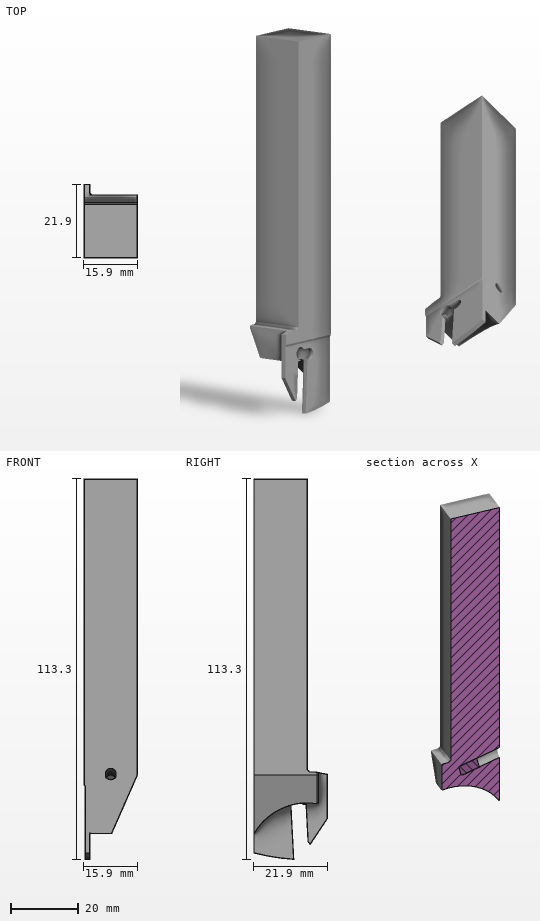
import cadquery as cq
import math


SHANK = 15.88
TOTAL_HEIGHT = 113.3

HEAD_DEPTH = 21.88
BLOCK_DEPTH = 18.8
SHOULDER_Z = 26.1
SHOULDER_SLOPE = math.radians(11)
SHOULDER_SLOPE_START = 18.0
SHOULDER_BEVEL = 0.65

BLADE_INNER_X = 1.75
CORNER_RADIUS = 0.4
RELIEF = 0.33
RELIEF_TOP_Z = 22.3
RELIEF_BOTTOM_Z = 21.65

JAW_HEEL_Z = 1.9
JAW_BULGE = 0.3

SLOT_LEAN = math.radians(3)
SLOT_TOP_Z = 16.4
LOWER_JAW_TOP_Y = 11.0
UPPER_JAW_TOP_Y = 15.5
KEYHOLE_DEPTH_X = BLADE_INNER_X
ROUND_END = (14.45, 18.65)
ROUND_END_RADIUS = 1.9
SMALL_END = (10.05, 17.82)
SMALL_END_RADIUS = 1.75

ARM_OUTER_Z = 12.2
ARM_TIP_Z = 4.5
ARM_TIP_Y = 16.75
ARM_TIP_BEVEL_Z = 5.3

SUPPORT_HEEL_Z = 7.65
SUPPORT_CREST_Y = SHANK
SUPPORT_CREST_Z = 16.8
TAPER_TOP_Z = 25.1
TAPER_BOTTOM_X = 8.2

BORE_DIAMETER = 3.25
BORE_X = SHANK / 2
BORE_Z = 25.4
BORE_TILT = math.radians(15)
PLUG_START = 7.2
PLUG_LENGTH = 6.0


def slab(outline, x_start, x_end):
    """Extrude a Y-Z outline between two X positions."""
    return outline.close().extrude(x_end - x_start).translate((x_start, 0, 0))


def slot_edge_y(top_y, z):
    """Y of a leaning slot wall at height z."""
    return top_y + (SLOT_TOP_Z - z) * math.tan(SLOT_LEAN)


def shoulder_z(y):
    """Height of the sloping part of the shoulder."""
    return SHOULDER_Z - (y - SHOULDER_SLOPE_START) * math.tan(SHOULDER_SLOPE)


def add_shoulder(outline, reach):
    """Continue an outline up the underside, round the shank and out along the shoulder."""
    return (
        outline.lineTo(0, TOTAL_HEIGHT)
        .lineTo(SHANK, TOTAL_HEIGHT)
        .lineTo(SHANK, SHOULDER_Z + SHOULDER_BEVEL)
        .lineTo(SHANK + SHOULDER_BEVEL, SHOULDER_Z)
        .lineTo(SHOULDER_SLOPE_START, SHOULDER_Z)
        .lineTo(reach, shoulder_z(reach))
    )


def make_support():
    """Shank and thick part of the head, arched underneath and tapered on the +X side."""
    rise = SUPPORT_CREST_Z - SUPPORT_HEEL_Z
    arch_radius = (SUPPORT_CREST_Y**2 + rise**2) / (2 * rise)
    arch_centre_z = SUPPORT_CREST_Z - arch_radius

    def arch_z(y):
        return arch_centre_z + math.sqrt(arch_radius**2 - (y - SUPPORT_CREST_Y) ** 2)

    outline = add_shoulder(cq.Workplane("YZ").moveTo(0, SUPPORT_HEEL_Z), BLOCK_DEPTH)
    outline = outline.lineTo(BLOCK_DEPTH, arch_z(BLOCK_DEPTH))
    outline = outline.threePointArc((SUPPORT_CREST_Y, SUPPORT_CREST_Z), (0, SUPPORT_HEEL_Z))
    support = slab(outline, 0, SHANK)

    taper_slope = (SHANK - TAPER_BOTTOM_X) / (TAPER_TOP_Z - SUPPORT_HEEL_Z)
    taper = (
        cq.Workplane("XZ")
        .moveTo(SHANK, TAPER_TOP_Z)
        .lineTo(SHANK - taper_slope * TAPER_TOP_Z, 0)
        .lineTo(SHANK, 0)
        .close()
        .extrude(-HEAD_DEPTH)
    )
    return support.cut(taper)


def make_blade():
    """Thin blade with an upper and a lower jaw."""
    tip_y = slot_edge_y(LOWER_JAW_TOP_Y, 0)
    bulge_angle = math.atan2(JAW_HEEL_Z, tip_y)
    bulge_point = (
        tip_y / 2 - JAW_BULGE * math.sin(bulge_angle),
        JAW_HEEL_Z / 2 - JAW_BULGE * math.cos(bulge_angle),
    )
    outline = add_shoulder(cq.Workplane("YZ").moveTo(0, JAW_HEEL_Z), HEAD_DEPTH)
    outline = (
        outline.lineTo(HEAD_DEPTH, ARM_OUTER_Z)
        .lineTo(ARM_TIP_Y, ARM_TIP_Z)
        .lineTo(slot_edge_y(UPPER_JAW_TOP_Y, ARM_TIP_BEVEL_Z), ARM_TIP_BEVEL_Z)
        .lineTo(UPPER_JAW_TOP_Y, SLOT_TOP_Z)
        .lineTo(LOWER_JAW_TOP_Y, SLOT_TOP_Z)
        .lineTo(tip_y, 0)
        .threePointArc(bulge_point, (0, JAW_HEEL_Z))
    )
    return slab(outline, 0, BLADE_INNER_X)


def make_corner_fillet():
    """Rounded fill in the corner between blade and thick part of the head."""
    corner = (
        cq.Workplane("XY")
        .moveTo(BLADE_INNER_X, BLOCK_DEPTH)
        .lineTo(BLADE_INNER_X + CORNER_RADIUS, BLOCK_DEPTH)
        .radiusArc((BLADE_INNER_X, BLOCK_DEPTH + CORNER_RADIUS), -CORNER_RADIUS)
        .close()
    )
    top_z = shoulder_z(BLOCK_DEPTH + CORNER_RADIUS)
    return corner.extrude(top_z - SUPPORT_CREST_Z).translate((0, 0, SUPPORT_CREST_Z))


def make_keyhole():
    """Pocket at the root of the slot: a long round-ended recess with a larger end."""
    def disc(centre, radius):
        return cq.Workplane("YZ").center(*centre).circle(radius).extrude(KEYHOLE_DEPTH_X)

    link_length = ROUND_END[0] - SMALL_END[0]
    link = (
        cq.Workplane("YZ")
        .rect(link_length, 2 * SMALL_END_RADIUS)
        .extrude(KEYHOLE_DEPTH_X)
        .translate((0, link_length / 2, 0))
        .rotate((0, 0, 0), (1, 0, 0), math.degrees(SLOT_LEAN))
        .translate((0, *SMALL_END))
    )
    return link.union(disc(ROUND_END, ROUND_END_RADIUS)).union(disc(SMALL_END, SMALL_END_RADIUS))


def make_side_relief():
    """Shallow cut that sets the blade side back, ending in a bevel."""
    relief = (
        cq.Workplane("XZ")
        .moveTo(0, 0)
        .lineTo(RELIEF, 0)
        .lineTo(RELIEF, RELIEF_BOTTOM_Z)
        .lineTo(0, RELIEF_TOP_Z)
        .close()
    )
    return relief.extrude(-HEAD_DEPTH)


def make_rod(start, length):
    """Cylinder on the axis of the tilted bore, beginning at a distance along it."""
    axis = cq.Vector(0, math.cos(BORE_TILT), -math.sin(BORE_TILT))
    origin = cq.Vector(BORE_X, 0, BORE_Z) + axis * start
    return cq.Workplane(cq.Solid.makeCylinder(BORE_DIAMETER / 2, length, origin, axis))


def make_holder():
    holder = make_support().union(make_blade()).union(make_corner_fillet())
    holder = holder.cut(make_keyhole()).cut(make_side_relief())
    return holder.cut(make_rod(-BORE_DIAMETER, BORE_DIAMETER + PLUG_START + PLUG_LENGTH))


def make_plug():
    return make_rod(PLUG_START, PLUG_LENGTH)


holder = make_holder()
plug = make_plug()
result = cq.Compound.makeCompound([holder.val(), plug.val()])